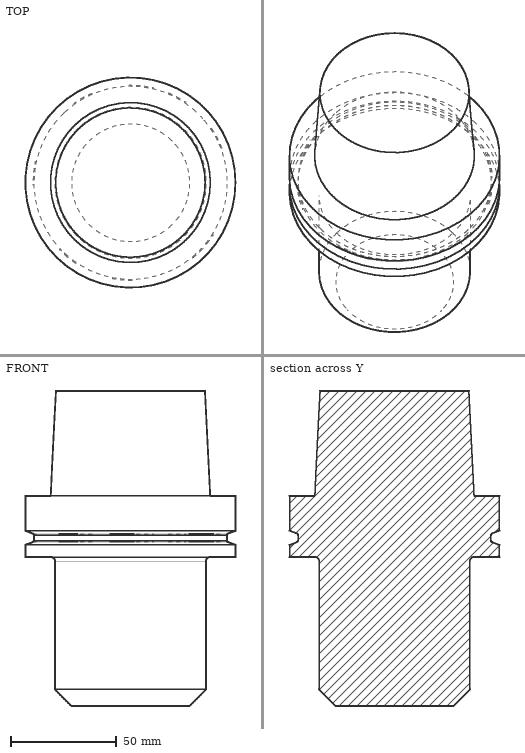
import cadquery as cq

total_height = 150.0
flange_diameter = 100.0
flange_bottom = 71.0
flange_top = 100.0

taper_base_diameter = 76.0
taper_ratio = 0.1

body_diameter = 72.0
body_chamfer = 8.0
neck_fillet = 2.0

groove_root_diameter = 92.0
groove_center = 80.1
groove_mouth_width = 6.6
groove_root_width = 3.6
groove_root_fillet = 0.8


def make_body():
    body = cq.Workplane("XY").circle(body_diameter / 2).extrude(flange_bottom)
    return body.faces("<Z").chamfer(body_chamfer)


def make_flange():
    return (
        cq.Workplane("XY", origin=(0, 0, flange_bottom))
        .circle(flange_diameter / 2)
        .extrude(flange_top - flange_bottom)
    )


def make_taper():
    height = total_height - flange_top
    tip_diameter = taper_base_diameter - taper_ratio * height
    return cq.Workplane("XY").add(
        cq.Solid.makeCone(
            taper_base_diameter / 2,
            tip_diameter / 2,
            height,
            pnt=cq.Vector(0, 0, flange_top),
        )
    )


def make_groove_cutter():
    """Ring with sloping flanks and a flat root with rounded corners, revolved about Z."""
    rim_radius = flange_diameter / 2
    root_radius = groove_root_diameter / 2
    half_mouth = groove_mouth_width / 2
    half_root = groove_root_width / 2
    ring = (
        cq.Workplane("XZ")
        .moveTo(rim_radius, groove_center - half_mouth)
        .lineTo(root_radius, groove_center - half_root)
        .lineTo(root_radius, groove_center + half_root)
        .lineTo(rim_radius, groove_center + half_mouth)
        .close()
        .revolve(360, (0, 0, 0), (0, 1, 0))
    )
    return ring.edges(cq.selectors.RadiusNthSelector(0)).fillet(groove_root_fillet)


neck_corner = cq.selectors.RadiusNthSelector(1)
result = make_body().union(make_flange())
result = result.edges("%CIRCLE").edges(neck_corner).edges(">Z").fillet(neck_fillet)

result = result.union(make_taper()).cut(make_groove_cutter())